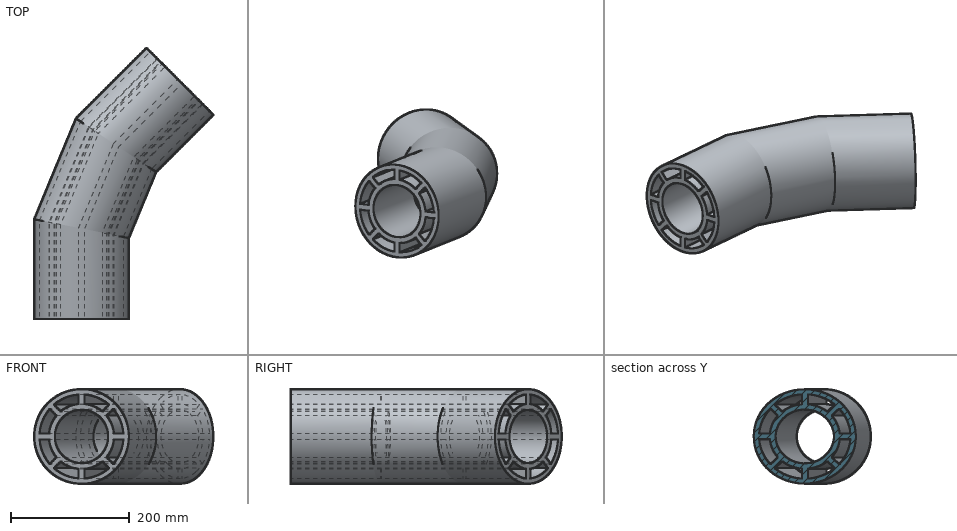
import cadquery as cq
import math

outer_radius = 80.01
shell_wall = 9.144
hub_radius = 55.0
bore_radius = 45.0
rib_width = 10.16
rib_count = 8
segment_length = 152.4
segment_count = 3
bend_angle = 45.0

shell_inner_radius = outer_radius - shell_wall
rib_pitch = 360.0 / rib_count
miter_turn = bend_angle / (segment_count - 1)


def centreline_points():
    """Corner points of the mitered centreline, starting at the origin along +Y."""
    points = [(0.0, 0.0)]
    for index in range(segment_count):
        heading = math.radians(index * miter_turn)
        x, y = points[-1]
        x_step = segment_length * math.sin(heading)
        y_step = segment_length * math.cos(heading)
        points.append((x + x_step, y + y_step))
    return points


def cross_section():
    """End face: two concentric rings joined by radial ribs, around an open bore."""
    rib_middle_radius = (hub_radius + shell_inner_radius) / 2
    rib_length = (outer_radius + shell_inner_radius - hub_radius - bore_radius) / 2
    section = cq.Sketch().circle(outer_radius)
    section = section.circle(shell_inner_radius, mode="s")
    section = section.circle(hub_radius).circle(bore_radius, mode="s")
    for index in range(rib_count):
        angle = index * rib_pitch
        direction = math.radians(angle)
        center_x = rib_middle_radius * math.cos(direction)
        center_y = rib_middle_radius * math.sin(direction)
        section = section.push([(center_x, center_y)]).rect(rib_length, rib_width, angle=angle).reset()
    return section.clean()


def mitered_elbow():
    """Sweep the section along the polyline with mitered corners."""
    path = cq.Workplane("XY").polyline(centreline_points())
    elbow = cq.Workplane("XZ").placeSketch(cross_section()).sweep(path, transition="right")
    return elbow.solids()


result = mitered_elbow()